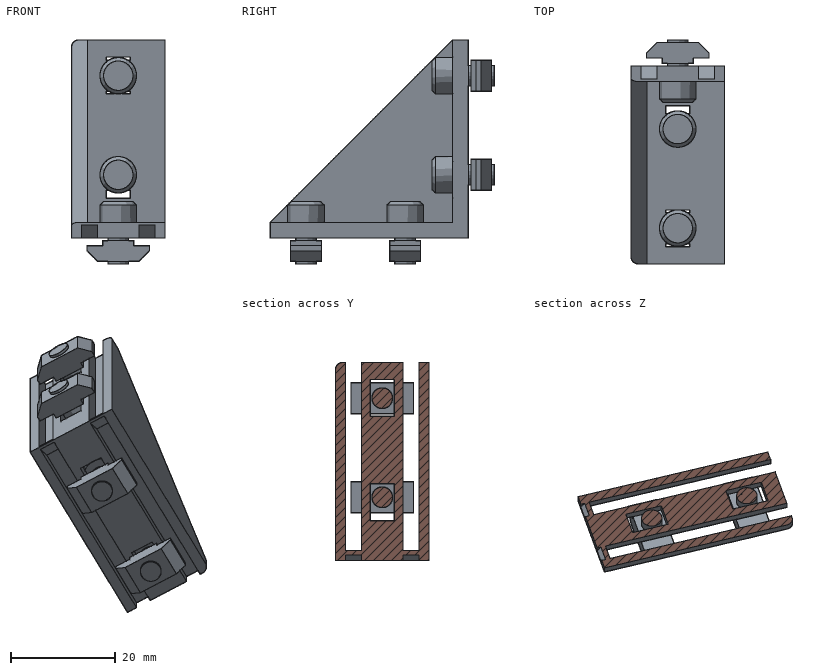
import cadquery as cq

overall_size = 43.0
width = 18.0
leg_length = 38.0
plate_thickness = 3.0
gusset_thickness = 3.1
edge_radius = 1.5

channel_width = 3.0
channel_depth = 2.5
channel_offset = 5.5
corner_web = 1.0

slot_width = 4.5
slot_length = 7.0
slot_pitch = 20.0
first_slot = 11.2
slot_places = [first_slot, first_slot + slot_pitch]

bolt_places = [12.13, 31.15]
head_diameter = 7.0
head_height = 4.0
head_chamfer = 0.7
shank_diameter = 4.0
shank_reach = overall_size - leg_length

nut_length = 5.98
nut_gap = 0.47
neck_width = 5.98
neck_height = 1.0
flange_width = 12.0
flange_edge = 1.0
nut_bevel = 2.0


def to_upright_leg(body):
    """Mirror a body of the flat leg across the plane that bisects the corner."""
    return body.rotate((0, 0, 0), (1, 0, 0), -90).mirror("XZ")


def side_profile(points, x_start, depth):
    """Extrude a (Y, Z) outline along +X."""
    return cq.Workplane("YZ", origin=(x_start, 0, 0)).polyline(points).close().extrude(depth)


def make_bracket():
    """Two plates joined by a triangular gusset with a rounded outer rim."""
    gusset = side_profile(
        [
            (0, 0),
            (-leg_length, 0),
            (-leg_length, plate_thickness),
            (-plate_thickness, leg_length),
            (0, leg_length),
        ],
        -width / 2,
        gusset_thickness,
    )
    plates = side_profile(
        [
            (0, 0),
            (-leg_length, 0),
            (-leg_length, plate_thickness),
            (-plate_thickness, plate_thickness),
            (-plate_thickness, leg_length),
            (0, leg_length),
        ],
        -width / 2,
        width,
    )
    outer_side = -width / 2
    diagonal_middle = (leg_length + plate_thickness) / 2
    rim_points = [
        (outer_side, -leg_length, plate_thickness / 2),
        (outer_side, -diagonal_middle, diagonal_middle),
        (outer_side, -plate_thickness / 2, leg_length),
    ]
    body = gusset.union(plates)
    rim = cq.Workplane("XY")
    for point in rim_points:
        rim = rim.add(body.edges(cq.selectors.NearestToPointSelector(point)).vals())
    return body.newObject([body.val().fillet(edge_radius, rim.vals())])


def make_leg_cuts():
    """Slots and channels of the flat leg; each channel ends on a slope at the corner."""
    cuts = (
        cq.Workplane("XY")
        .pushPoints([(0, -place) for place in slot_places])
        .rect(slot_width, slot_length)
        .extrude(plate_thickness)
    )
    for side in (-1, 1):
        channel = side_profile(
            [
                (-leg_length, 0),
                (-corner_web / 2, 0),
                (-corner_web / 2 - channel_depth, channel_depth),
                (-leg_length, channel_depth),
            ],
            side * channel_offset - channel_width / 2,
            channel_width,
        )
        cuts = cuts.union(channel)
    return cuts


def make_fastener(place):
    """Bolt with its T-nut, standing in the flat leg."""
    head = (
        cq.Workplane("XY", origin=(0, -place, plate_thickness))
        .circle(head_diameter / 2)
        .extrude(head_height)
        .faces(">Z")
        .chamfer(head_chamfer)
    )
    shank = (
        cq.Workplane("XY", origin=(0, -place, -shank_reach))
        .circle(shank_diameter / 2)
        .extrude(shank_reach + plate_thickness)
    )
    neck_top = -nut_gap
    flange_top = neck_top - neck_height
    bevel_top = flange_top - flange_edge
    nut_bottom = bevel_top - nut_bevel
    half_outline = [
        (0, neck_top),
        (neck_width / 2, neck_top),
        (neck_width / 2, flange_top),
        (flange_width / 2, flange_top),
        (flange_width / 2, bevel_top),
        (flange_width / 2 - nut_bevel, nut_bottom),
        (0, nut_bottom),
    ]
    nut = (
        cq.Workplane("XZ", origin=(0, -place, 0))
        .polyline(half_outline)
        .mirrorY()
        .extrude(nut_length / 2, both=True)
    )
    return head.union(shank).union(nut)


leg_cuts = make_leg_cuts()
result = make_bracket().cut(leg_cuts).cut(to_upright_leg(leg_cuts))
for bolt_place in bolt_places:
    fastener = make_fastener(bolt_place)
    result = result.union(fastener).union(to_upright_leg(fastener))